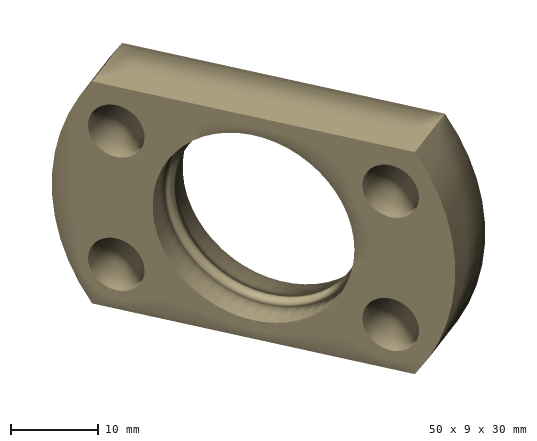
import cadquery as cq

disc_diameter = 50.0
height_across_flats = 30.0
thickness = 9.0

bore_diameter = 25.0
bead_radius = 0.8

bolt_hole_diameter = 7.0
bolt_spacing_x = 34.0
bolt_spacing_z = 18.0


def make_plate():
    """Disc cut to two flats, centred on the origin."""
    disc = cq.Workplane("XZ").circle(disc_diameter / 2).extrude(thickness / 2, both=True)
    flats = cq.Workplane("XY").box(disc_diameter, thickness, height_across_flats)
    return disc.intersect(flats)


def make_bore():
    """Bore cutter along Y with a half-round groove that leaves the bead standing."""
    bore_radius = bore_diameter / 2
    return (
        cq.Workplane("XY")
        .moveTo(0, -thickness / 2)
        .lineTo(bore_radius, -thickness / 2)
        .lineTo(bore_radius, -bead_radius)
        .threePointArc((bore_radius - bead_radius, 0), (bore_radius, bead_radius))
        .lineTo(bore_radius, thickness / 2)
        .lineTo(0, thickness / 2)
        .close()
        .revolve(360, (0, 0, 0), (0, 1, 0))
    )


def make_bolt_holes():
    """Four cylinders along Y at the corners of a rectangle."""
    return (
        cq.Workplane("XZ")
        .rect(bolt_spacing_x, bolt_spacing_z, forConstruction=True)
        .vertices()
        .circle(bolt_hole_diameter / 2)
        .extrude(thickness / 2, both=True)
    )


result = make_plate().cut(make_bore()).cut(make_bolt_holes())